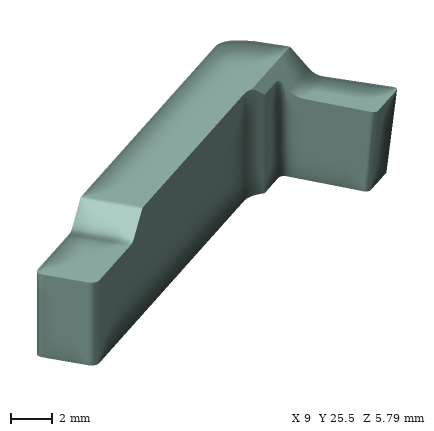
import math

import cadquery as cq

TOTAL_LENGTH = 25.55
REACH = 9.0
HEIGHT = 5.79
LOW_HEIGHT = 4.48

BAR_WIDTH = 3.23
END_CORNER_RADIUS = 0.42
SHOULDER_X = 3.85
SHOULDER_END_Y = 20.84
SHOULDER_RADIUS = 1.3
SHOULDER_SWEEP = math.radians(45)

BACK_CORNER_RADIUS = 1.0
BACK_CORNER_SWEEP = math.radians(68)
BACK_CORNER_START_Y = 24.08
CROWN_X = 3.2

END_RAMP_FOOT_Y = 4.63
END_RAMP_FOOT_RADIUS = 0.55
END_RAMP_TOP_RADIUS = 0.25

HEAD_RAMP_TOP_X = 3.39
HEAD_RAMP_FOOT_RADIUS = 1.0

HEAD_TIP_WIDTH = 3.0
HEAD_FLARE = math.tan(math.radians(2.5))
HEAD_SIDE_DRAFT = math.tan(math.radians(2.5))
TIP_DRAFT = math.tan(math.radians(6))
TIP_CORNER_RADIUS = 0.25
TIP_BACK_Y = TOTAL_LENGTH + TIP_CORNER_RADIUS * HEAD_FLARE
TIP_FRONT_Y = TIP_BACK_Y - HEAD_TIP_WIDTH
NECK_RADIUS = 0.3

RAMP_ANGLE = math.radians(45)
COS_RAMP = math.cos(RAMP_ANGLE)
SIN_RAMP = math.sin(RAMP_ANGLE)
HALF_TAN = math.tan(RAMP_ANGLE / 2)
MARGIN = 1.0


def head_section(z):
    """Points of the drafted head outline at height z, reaching back through the bar."""
    tip_x = REACH + (z - LOW_HEIGHT) * TIP_DRAFT
    root_x = -MARGIN

    def growth(x):
        return (x - REACH) * HEAD_FLARE + (z - LOW_HEIGHT) * HEAD_SIDE_DRAFT

    return [
        (root_x, TIP_FRONT_Y - growth(root_x)),
        (tip_x, TIP_FRONT_Y - growth(tip_x)),
        (tip_x, TIP_BACK_Y + growth(tip_x)),
        (root_x, TIP_BACK_Y + growth(root_x)),
    ]


def loft_between(lower, upper):
    """Solid between an outline at z = 0 and the matching one at z = HEIGHT."""
    return (
        cq.Workplane("XY").polyline(lower).close()
        .workplane(offset=HEIGHT).polyline(upper).close()
        .loft(ruled=True, combine=True)
    )


def make_head():
    head = loft_between(head_section(0), head_section(HEIGHT))
    tip_corners = cq.selectors.BoxSelector(
        (REACH - MARGIN, 0, HEIGHT * 0.25), (REACH + MARGIN, TOTAL_LENGTH + MARGIN, HEIGHT * 0.75)
    )
    return head.edges(tip_corners).fillet(TIP_CORNER_RADIUS)


def make_bar():
    """Bar with its shoulder and rounded back corner, extended past the drafted back face."""
    slant_x = BAR_WIDTH + SHOULDER_RADIUS * (1 - math.cos(SHOULDER_SWEEP))
    slant_y = SHOULDER_END_Y - (SHOULDER_X - slant_x) / math.tan(SHOULDER_SWEEP)
    shoulder_start_y = slant_y - SHOULDER_RADIUS * math.sin(SHOULDER_SWEEP)

    round_end_x = BACK_CORNER_RADIUS * (1 - math.cos(BACK_CORNER_SWEEP))
    round_end_y = BACK_CORNER_START_Y + BACK_CORNER_RADIUS * math.sin(BACK_CORNER_SWEEP)
    slope = math.pi / 2 - BACK_CORNER_SWEEP
    crown_radius = (CROWN_X - round_end_x) / math.sin(slope)
    crown_y = round_end_y + crown_radius * (1 - math.cos(slope))

    return (
        cq.Workplane("XY")
        .moveTo(0, 0)
        .lineTo(BAR_WIDTH, 0)
        .lineTo(BAR_WIDTH, shoulder_start_y)
        .tangentArcPoint((slant_x, slant_y), relative=False)
        .lineTo(SHOULDER_X, SHOULDER_END_Y)
        .lineTo(SHOULDER_X, crown_y)
        .lineTo(CROWN_X, crown_y)
        .tangentArcPoint((round_end_x, round_end_y), relative=False)
        .tangentArcPoint((0, BACK_CORNER_START_Y), relative=False)
        .close()
        .extrude(HEIGHT)
        .edges("|Z and <Y").fillet(END_CORNER_RADIUS)
    )


def make_back_trim():
    """Everything behind the drafted back face of the head and bar."""
    def outline(z):
        tip, root = head_section(z)[2:]
        far_y = TOTAL_LENGTH + 2 * MARGIN
        return [root, tip, (tip[0], far_y), (root[0], far_y)]
    return loft_between(outline(0), outline(HEIGHT))


def round_neck(body):
    """Round the upright inner corner where the head leaves the shoulder."""
    neck_y = TIP_FRONT_Y + (REACH - SHOULDER_X) * HEAD_FLARE
    corner = cq.selectors.BoxSelector(
        (SHOULDER_X - NECK_RADIUS, neck_y - NECK_RADIUS, HEIGHT * 0.25),
        (SHOULDER_X + NECK_RADIUS, neck_y + NECK_RADIUS, HEIGHT * 0.75),
    )
    return body.edges(corner).fillet(NECK_RADIUS)


def make_end_step():
    """Material removed above the plain end, with a ramp rounded at foot and top."""
    drop = HEIGHT - LOW_HEIGHT
    foot_corner_y = END_RAMP_FOOT_Y + END_RAMP_FOOT_RADIUS * HALF_TAN
    top_corner_y = foot_corner_y + drop / math.tan(RAMP_ANGLE)
    top_y = top_corner_y + END_RAMP_TOP_RADIUS * HALF_TAN
    foot_end = (
        END_RAMP_FOOT_Y + END_RAMP_FOOT_RADIUS * SIN_RAMP,
        LOW_HEIGHT + END_RAMP_FOOT_RADIUS * (1 - COS_RAMP),
    )
    top_start = (
        top_y - END_RAMP_TOP_RADIUS * SIN_RAMP,
        HEIGHT - END_RAMP_TOP_RADIUS * (1 - COS_RAMP),
    )
    return (
        cq.Workplane("YZ", origin=(-MARGIN, 0, 0))
        .moveTo(-MARGIN, LOW_HEIGHT)
        .lineTo(END_RAMP_FOOT_Y, LOW_HEIGHT)
        .tangentArcPoint(foot_end, relative=False)
        .lineTo(*top_start)
        .tangentArcPoint((top_y, HEIGHT), relative=False)
        .lineTo(top_y, HEIGHT + MARGIN)
        .lineTo(-MARGIN, HEIGHT + MARGIN)
        .close()
        .extrude(REACH + 2 * MARGIN)
    )


def make_head_step():
    """Material removed above the head, with a ramp rounded at its foot."""
    foot_x = (
        HEAD_RAMP_TOP_X
        + (HEIGHT - LOW_HEIGHT) / math.tan(RAMP_ANGLE)
        + HEAD_RAMP_FOOT_RADIUS * HALF_TAN
    )
    foot_start = (
        foot_x - HEAD_RAMP_FOOT_RADIUS * SIN_RAMP,
        LOW_HEIGHT + HEAD_RAMP_FOOT_RADIUS * (1 - COS_RAMP),
    )
    far_x = REACH + MARGIN
    return (
        cq.Workplane("XZ")
        .moveTo(HEAD_RAMP_TOP_X, HEIGHT)
        .lineTo(*foot_start)
        .tangentArcPoint((foot_x, LOW_HEIGHT), relative=False)
        .lineTo(far_x, LOW_HEIGHT)
        .lineTo(far_x, HEIGHT + MARGIN)
        .lineTo(HEAD_RAMP_TOP_X, HEIGHT + MARGIN)
        .close()
        .extrude(-(TOTAL_LENGTH + MARGIN))
    )


beyond_bar = (
    cq.Workplane("XY", origin=(BAR_WIDTH, 0, 0))
    .box(REACH, TOTAL_LENGTH + MARGIN, HEIGHT, centered=False)
)
head = make_head().intersect(beyond_bar)
bar = make_bar().cut(make_back_trim())
result = round_neck(bar.union(head))
result = result.cut(make_end_step()).cut(make_head_step())